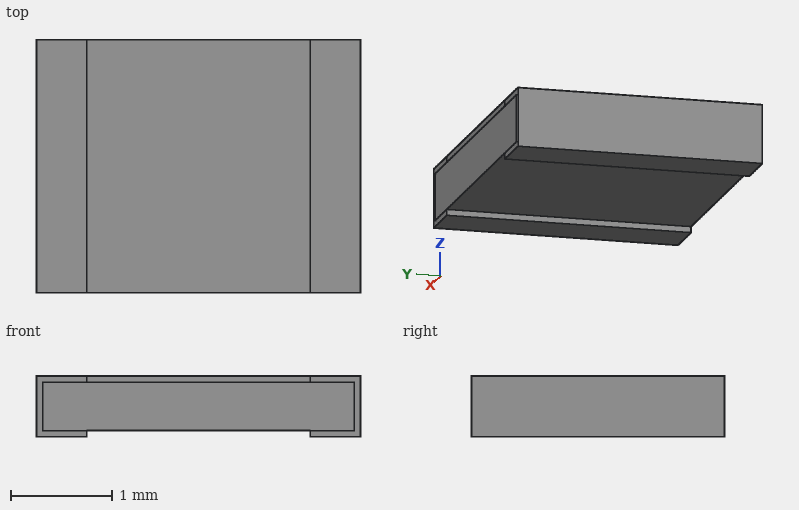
import cadquery as cq

length = 3.2
width = 2.5
height = 0.6

terminal_length = 0.5
plating = 0.06

core_length = length - 2 * plating
core_height = height - 2 * plating

coating_length = length - 2 * terminal_length


def block(size_x, size_z, center_x, bottom_z):
    """Block across the full width, centred on Y."""
    return (
        cq.Workplane("XY")
        .box(size_x, width, size_z, centered=(True, True, False))
        .translate((center_x, 0, bottom_z))
    )


def make_core():
    return block(core_length, core_height, 0, plating)


def make_coating():
    return block(coating_length, plating, 0, height - plating)


def make_terminal(side):
    """C-shaped cap at one end; side is -1 or +1 along X."""
    center_x = side * (length - terminal_length) / 2
    cap = block(terminal_length, height, center_x, 0)
    return cap.cut(make_core()).solids()


core = make_core()
coating = make_coating()
terminals = [make_terminal(side) for side in (-1, 1)]

result = cq.Compound.makeCompound(
    [core.val(), coating.val(), *[terminal.val() for terminal in terminals]]
)